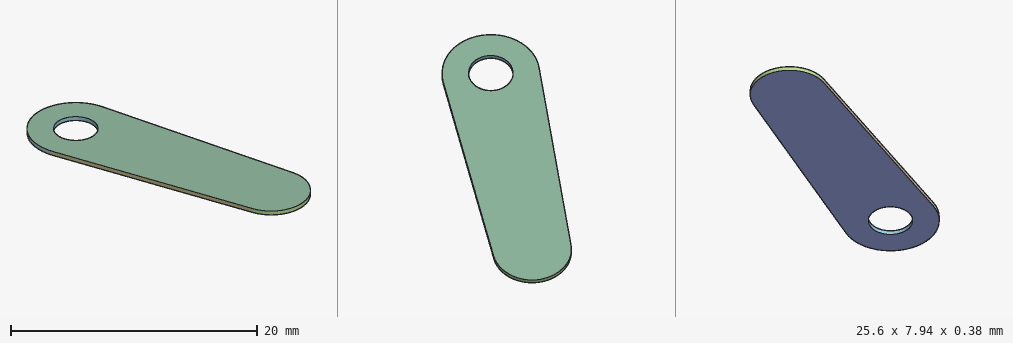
import cadquery as cq
import math

length = 25.6
thickness = 0.38
wide_radius = 3.97
narrow_radius = 3.2
hole_diameter = 3.6

wide_center_x = -length / 2 + wide_radius
narrow_center_x = length / 2 - narrow_radius
center_distance = narrow_center_x - wide_center_x

taper_angle = math.asin((wide_radius - narrow_radius) / center_distance)
tangent_x = math.sin(taper_angle)
tangent_y = math.cos(taper_angle)


def tangent_point(center_x, radius, side):
    """Point where an end arc meets the straight edge on the +Y or -Y side."""
    return (center_x + radius * tangent_x, side * radius * tangent_y)


plate = (
    cq.Workplane("XY")
    .workplane(offset=-thickness / 2)
    .moveTo(*tangent_point(wide_center_x, wide_radius, 1))
    .lineTo(*tangent_point(narrow_center_x, narrow_radius, 1))
    .threePointArc((length / 2, 0), tangent_point(narrow_center_x, narrow_radius, -1))
    .lineTo(*tangent_point(wide_center_x, wide_radius, -1))
    .threePointArc((-length / 2, 0), tangent_point(wide_center_x, wide_radius, 1))
    .close()
    .extrude(thickness)
)

result = plate.faces(">Z").workplane(origin=(wide_center_x, 0, 0)).hole(hole_diameter)